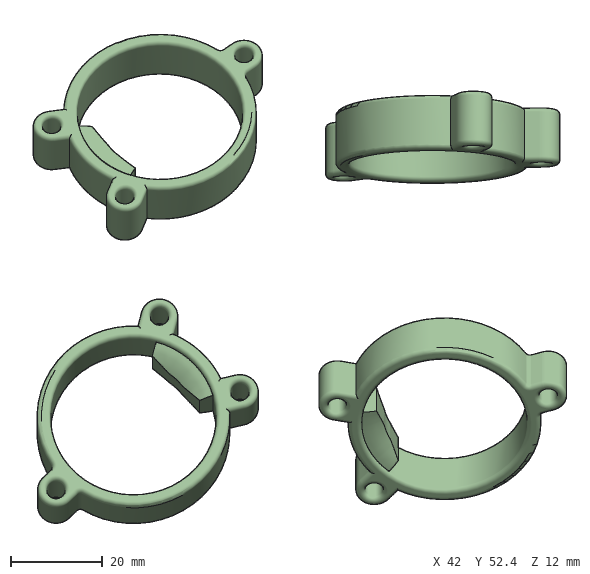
import cadquery as cq
import math

HEIGHT = 12.0
OUTER_RADIUS = 21.0
INNER_RADIUS = 18.0
EDGE_FILLET = 1.0

LUG_RADIUS = 4.05
LUG_HOLE_DIAMETER = 4.0
LUG_DISTANCE = 23.9
BACK_LUG_ANGLE = 90
FRONT_LUG_SPREAD = 31.2
FRONT_LUG_ANGLES = [-90 - FRONT_LUG_SPREAD, -90 + FRONT_LUG_SPREAD]
LUG_ROOT_FILLET = 1.0

PAD_HALF_ANGLE = 29.0
PAD_NOSE_RADIUS = 13.3
PAD_NOSE_HEIGHT = 5.7
PAD_WALL_HEIGHT = 10.15
PAD_FACE_SAGITTA = 0.35
PAD_FLAT_DISTANCE = 13.15


def lug_block(angle):
    """Straight-sided lug reaching from the ring axis to a rounded tip."""
    straight = (
        cq.Workplane("XY")
        .center(LUG_DISTANCE / 2, 0)
        .rect(LUG_DISTANCE, 2 * LUG_RADIUS)
        .extrude(HEIGHT)
    )
    tip = cq.Workplane("XY").center(LUG_DISTANCE, 0).circle(LUG_RADIUS).extrude(HEIGHT)
    return straight.union(tip).rotate((0, 0, 0), (0, 0, 1), angle)


def lug_hole(angle):
    """Cutter for the through hole of the lug at the given angle."""
    hole = cq.Workplane("XY").center(LUG_DISTANCE, 0).circle(LUG_HOLE_DIAMETER / 2).extrude(HEIGHT)
    return hole.rotate((0, 0, 0), (0, 0, 1), angle)


def make_ring():
    """Ring with three drilled lugs and rounded top and bottom edges."""
    body = cq.Workplane("XY").circle(OUTER_RADIUS).extrude(HEIGHT)
    body = body.union(lug_block(BACK_LUG_ANGLE))

    root_y = math.sqrt(OUTER_RADIUS**2 - LUG_RADIUS**2)
    for root_x in (-LUG_RADIUS, LUG_RADIUS):
        root = cq.selectors.NearestToPointSelector((root_x, root_y, HEIGHT / 2))
        body = body.edges("|Z").edges(root).fillet(LUG_ROOT_FILLET)

    for angle in FRONT_LUG_ANGLES:
        body = body.union(lug_block(angle))

    body = body.cut(cq.Workplane("XY").circle(INNER_RADIUS).extrude(HEIGHT))
    for angle in [BACK_LUG_ANGLE, *FRONT_LUG_ANGLES]:
        body = body.cut(lug_hole(angle))
    return body.faces("<Z or >Z").edges().fillet(EDGE_FILLET)


def make_pad():
    """Sector with convex upper and lower faces, seated on the inner wall and cut flat at its free side."""
    half_nose = PAD_NOSE_HEIGHT / 2
    half_wall = PAD_WALL_HEIGHT / 2
    sector = (
        cq.Workplane("XZ", origin=(0, 0, HEIGHT / 2))
        .moveTo(PAD_NOSE_RADIUS, half_nose)
        .sagittaArc((INNER_RADIUS, half_wall), PAD_FACE_SAGITTA)
        .lineTo(INNER_RADIUS, -half_wall)
        .sagittaArc((PAD_NOSE_RADIUS, -half_nose), PAD_FACE_SAGITTA)
        .close()
        .revolve(2 * PAD_HALF_ANGLE, (0, 0), (0, 1))
        .rotate((0, 0, 0), (0, 0, 1), -90 - PAD_HALF_ANGLE)
    )
    beyond_flat = (
        cq.Workplane("XY")
        .center(0, -PAD_FLAT_DISTANCE - OUTER_RADIUS / 2)
        .rect(2 * OUTER_RADIUS, OUTER_RADIUS)
        .extrude(HEIGHT)
    )
    return sector.intersect(beyond_flat)


ring = make_ring()
pad = make_pad()
result = cq.Compound.makeCompound([*ring.solids().vals(), *pad.solids().vals()])